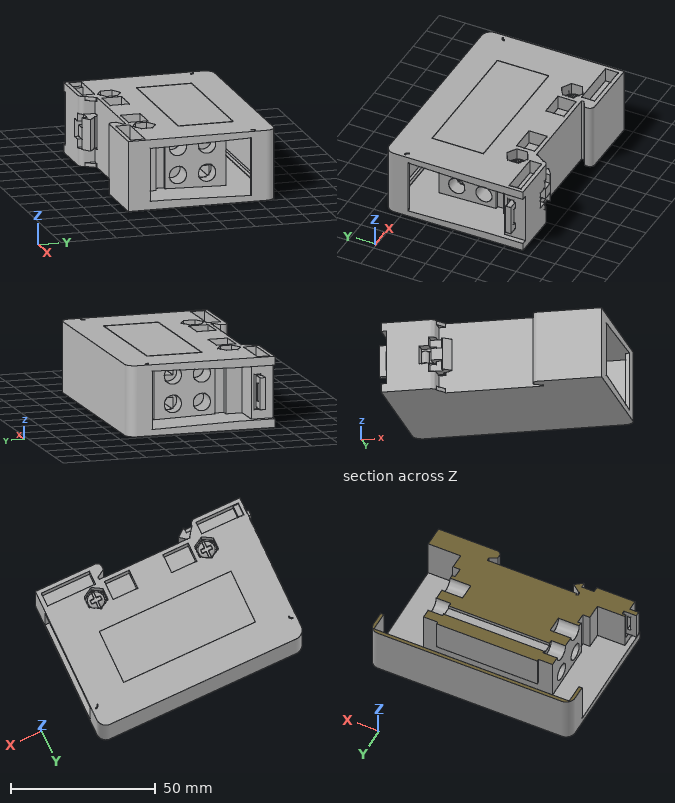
import cadquery as cq

LENGTH = 78.0
HEIGHT = 53.4
HALF_DEPTH = 12.6
TOP_CORNER_RADIUS = 3.5
OVERCUT = 1.0

RAIL_Y = 5.55
LEFT_FOOT_X = 19.25
LEFT_FOOT_RADIUS = 1.9
LEFT_FLANK_X = 21.6
LEFT_FLANK_Y = 5.2
RIGHT_FOOT_X = 53.4
RIGHT_FOOT_RADIUS = 1.9
RIGHT_NECK_X = 56.2
RIGHT_HOOK_Y = 3.0
RIGHT_NECK_Y = 4.6
FLANK_PLATE = 1.4

WALL = 1.35
OPENING_TOP_Y = 44.4
OPENING_HALF_DEPTH = 10.33
STRAIGHT_Y = 13.8
STRAIGHT_HALF_DEPTH = 9.5
FOOT_TOP_Y = 8.0
CAVITY_TOP_Y = 51.9
BASE_X = 12.5
LEDGE_WIDTH = 1.5
LEDGE_HEIGHT = 0.9
LEDGE_BEVEL = 0.5

BLOCK_X = 14.0
BLOCK_BOTTOM_Y = 17.4
BLOCK_TOP_Y = 39.4
GAP_X = 15.2
PORT_RADIUS = 3.1
PORT_Z = 5.05
WIRE_PORT_Y = 32.6
SCREW_PORT_Y = 22.1
WIRE_PORT_DEPTH = 5.5
SCREW_PORT_DEPTH = 8.0
WIRE_SLOT_Y = (30.9, 34.9)
WIRE_SLOT_Z = (4.0, 8.2)
BAR_HALF_WIDTH = 6.4
BAR_HEIGHT = 0.9

POCKETS = [
    (23.0, 32.6, 7.0, 14.0),
    (45.5, 54.9, 7.0, 14.0),
    (3.3, 17.4, 1.5, 6.0),
    (58.1, 76.4, 1.5, 6.5),
]
POCKET_DEPTH = 5.2
POCKET_STEP_DEPTH = 1.5
LABEL = (13.8, 64.0, 22.2, 42.0)
LABEL_DEPTH = 0.1

SCREW_XS = (17.9, 60.0)
SCREW_Y = 11.05
WELL_ACROSS_CORNERS = 8.2
HEAD_TOP_DEPTH = 2.6
WASHER_RADIUS = 3.9
WASHER_DEPTH = 4.6
HEAD_RADIUS = 3.5
HEAD_RIM = 0.6
DOME_RADIUS = 3.0
DRIVE_SLOT_WIDTH = 0.8
CROSS_LENGTH = 3.9
CROSS_WIDTH = 1.4
DRIVE_DEPTH = 1.3

MARK_X = 1.4
MARK_Y = 45.1
MARK_RADIUS = 1.25
MARK_WIDTH = 0.3
MARK_DEPTH = 0.3

RECESS_X = 1.9
PEG_REACH = 1.5
PEG_Y = (3.9, 5.9)
PEG_HALF_WIDTH = 5.65
PEG_NOTCH_X = 0.8
PEG_NOTCH_HALF_WIDTH = 3.2
PEG_SLOT_Y = (4.6, 7.0)
PEG_SLOT_HALF_WIDTH = 6.25
PEG_SLOT_END_X = 3.3

LATCH_X = 16.8
LATCH_HALF_WIDTH = 5.65
LATCH_SLOT_HALF_WIDTH = 6.2
LATCH_TOP_Y = 4.9
LATCH_SLOT_TOP_Y = 6.2
LATCH_STEP_X = 21.4
LATCH_STEP_Y = 2.1
LATCH_NECK_X = 21.0
LATCH_TIP = (24.6, 2.4)
LATCH_BOTTOM = (21.75, 0.2)
SPRING_WELL_X = (13.5, 19.1)
SPRING_WELL_HALF_WIDTH = 3.2
SPRING_WELL_DEPTH = 4.0
SPRING_HALF_WIDTH = 2.1
SPRING_X = 17.6
SPRING_SPLIT_X = 16.2


def box(x0, x1, y0, y1, z0, z1):
    """Box between two opposite corners."""
    return cq.Workplane("XY").box(x1 - x0, y1 - y0, z1 - z0, centered=False).translate((x0, y0, z0))


def plate(x0, x1, y0, y1, half_width):
    """Box centred on Z = 0."""
    return box(x0, x1, y0, y1, -half_width, half_width)


def mirrored_in_length(body):
    """Copy of a body on the opposite end of the housing."""
    return body.mirror("YZ", (LENGTH / 2, 0, 0))


def make_shell():
    outline = (
        cq.Workplane("XY", origin=(0, 0, -HALF_DEPTH))
        .moveTo(0, 0)
        .lineTo(LEFT_FOOT_X - LEFT_FOOT_RADIUS, 0)
        .radiusArc((LEFT_FOOT_X, LEFT_FOOT_RADIUS), -LEFT_FOOT_RADIUS)
        .lineTo(LEFT_FLANK_X, LEFT_FLANK_Y)
        .lineTo(LEFT_FLANK_X, RAIL_Y)
        .lineTo(RIGHT_NECK_X, RAIL_Y)
        .lineTo(RIGHT_NECK_X, RIGHT_NECK_Y)
        .lineTo(RIGHT_FOOT_X, RIGHT_HOOK_Y)
        .lineTo(RIGHT_FOOT_X, RIGHT_FOOT_RADIUS)
        .radiusArc((RIGHT_FOOT_X + RIGHT_FOOT_RADIUS, 0), -RIGHT_FOOT_RADIUS)
        .lineTo(LENGTH, 0)
        .lineTo(LENGTH, HEIGHT)
        .lineTo(0, HEIGHT)
        .close()
        .extrude(2 * HALF_DEPTH)
    )
    shell = outline.edges("|Z and >Y").fillet(TOP_CORNER_RADIUS)
    flank_relief = plate(LEFT_FOOT_X, LEFT_FLANK_X, LEFT_FOOT_RADIUS, RAIL_Y, HALF_DEPTH - FLANK_PLATE)
    return shell.cut(flank_relief)


def tapered_void():
    """Space between the floor and the ceiling of the chamber, widening towards +Y."""
    slope = (OPENING_HALF_DEPTH - STRAIGHT_HALF_DEPTH) / (OPENING_TOP_Y - STRAIGHT_Y)
    end_half = STRAIGHT_HALF_DEPTH + slope * (CAVITY_TOP_Y - STRAIGHT_Y)
    return (
        cq.Workplane("YZ", origin=(-OVERCUT, 0, 0))
        .polyline([
            (-OVERCUT, -STRAIGHT_HALF_DEPTH),
            (STRAIGHT_Y, -STRAIGHT_HALF_DEPTH),
            (CAVITY_TOP_Y, -end_half),
            (CAVITY_TOP_Y, end_half),
            (STRAIGHT_Y, STRAIGHT_HALF_DEPTH),
            (-OVERCUT, STRAIGHT_HALF_DEPTH),
        ])
        .close()
        .extrude(LENGTH + 2 * OVERCUT)
    )


def make_chamber():
    """Upper cavity, both end openings and the stepped spaces beside the terminal block."""
    end_space = (
        plate(-OVERCUT, BASE_X, FOOT_TOP_Y, OPENING_TOP_Y, HALF_DEPTH)
        .union(plate(BASE_X, GAP_X, STRAIGHT_Y, BLOCK_BOTTOM_Y, HALF_DEPTH))
        .union(plate(BASE_X, BLOCK_X, STRAIGHT_Y, BLOCK_TOP_Y, HALF_DEPTH))
    )
    space = (
        plate(WALL, LENGTH - WALL, BLOCK_TOP_Y, CAVITY_TOP_Y, HALF_DEPTH)
        .union(end_space)
        .union(mirrored_in_length(end_space))
        .union(plate(-OVERCUT, RECESS_X, -OVERCUT, FOOT_TOP_Y, HALF_DEPTH))
    )
    return space.intersect(tapered_void())


def make_ledge():
    """Bevelled ledge along the floor of the chamber, below its far wall."""
    front_y = CAVITY_TOP_Y - LEDGE_WIDTH
    floor_z = -OPENING_HALF_DEPTH
    top_z = floor_z + LEDGE_HEIGHT
    return (
        cq.Workplane("YZ", origin=(WALL, 0, 0))
        .polyline([
            (front_y, -HALF_DEPTH + OVERCUT),
            (front_y, floor_z),
            (front_y + LEDGE_BEVEL, top_z),
            (CAVITY_TOP_Y, top_z),
            (CAVITY_TOP_Y, -HALF_DEPTH + OVERCUT),
        ])
        .close()
        .extrude(LENGTH - 2 * WALL)
    )


def make_ports():
    """Round ports in both ends of the terminal block and the wire slots that join them."""
    ports = cq.Workplane("XY")
    slot_start = BLOCK_X + WIRE_PORT_DEPTH
    for side in (-1, 1):
        for port_y, depth in ((WIRE_PORT_Y, WIRE_PORT_DEPTH), (SCREW_PORT_Y, SCREW_PORT_DEPTH)):
            port = (
                cq.Workplane("YZ", origin=(BLOCK_X, port_y, side * PORT_Z))
                .circle(PORT_RADIUS)
                .extrude(depth)
            )
            ports = ports.add(port).add(mirrored_in_length(port))
        slot_z = sorted(side * z for z in WIRE_SLOT_Z)
        ports = ports.add(box(slot_start, LENGTH - slot_start, *WIRE_SLOT_Y, *slot_z))
    return ports.combine()


def make_bar():
    """Low bar along the top of the terminal block."""
    start = BLOCK_X + WIRE_PORT_DEPTH
    return plate(start, LENGTH - start, BLOCK_TOP_Y, BLOCK_TOP_Y + BAR_HEIGHT, BAR_HALF_WIDTH)


def make_top_pockets():
    pockets = cq.Workplane("XY")
    for pocket in POCKETS:
        pockets = pockets.add(box(*pocket, HALF_DEPTH - POCKET_DEPTH, HALF_DEPTH))
    return pockets.add(box(*LABEL, HALF_DEPTH - LABEL_DEPTH, HALF_DEPTH)).combine()


def make_pocket_step():
    """Shallow step that carries the left foot pocket on to the wall."""
    _, x1, y0, y1 = POCKETS[2]
    return box(WALL, x1, y0, y1, HALF_DEPTH - POCKET_STEP_DEPTH, HALF_DEPTH)


def make_well(x):
    """Hexagonal well with two corners pointing along Y."""
    return (
        cq.Workplane("XY", origin=(x, SCREW_Y, HALF_DEPTH - WASHER_DEPTH))
        .transformed(rotate=(0, 0, 90))
        .polygon(6, WELL_ACROSS_CORNERS)
        .extrude(WASHER_DEPTH)
    )


def make_screw(x):
    """Domed screw head on a washer, with a full slot along Y and a short cross slot along X."""
    rise = WASHER_DEPTH - HEAD_TOP_DEPTH
    dome_rise = rise - HEAD_RIM
    dome_sphere_radius = (DOME_RADIUS**2 + dome_rise**2) / (2 * dome_rise)
    head = (
        cq.Workplane("XZ")
        .moveTo(0, -OVERCUT)
        .lineTo(WASHER_RADIUS, -OVERCUT)
        .lineTo(WASHER_RADIUS, HEAD_RIM / 2)
        .lineTo(HEAD_RADIUS, HEAD_RIM / 2)
        .lineTo(HEAD_RADIUS, HEAD_RIM)
        .lineTo(DOME_RADIUS, HEAD_RIM)
        .radiusArc((0, rise), -dome_sphere_radius)
        .close()
        .revolve(360, (0, 0, 0), (0, 1, 0))
    )
    half_slot = DRIVE_SLOT_WIDTH / 2
    slot = box(-half_slot, half_slot, -HEAD_RADIUS, HEAD_RADIUS, rise - DRIVE_DEPTH, rise)
    half_cross = CROSS_LENGTH / 2
    cross = box(-half_cross, half_cross, -CROSS_WIDTH / 2, CROSS_WIDTH / 2, rise - DRIVE_DEPTH, rise)
    return head.cut(slot).cut(cross).translate((x, SCREW_Y, HALF_DEPTH - WASHER_DEPTH))


def make_mark():
    """Quarter ring engraved in the top face near the left wall."""
    ring = (
        cq.Workplane("XY", origin=(MARK_X, MARK_Y, HALF_DEPTH - MARK_DEPTH))
        .circle(MARK_RADIUS)
        .circle(MARK_RADIUS - MARK_WIDTH)
        .extrude(MARK_DEPTH)
    )
    quarter = box(
        MARK_X, MARK_X + MARK_RADIUS, MARK_Y, MARK_Y + MARK_RADIUS, HALF_DEPTH - MARK_DEPTH, HALF_DEPTH
    )
    return ring.intersect(quarter)


def make_peg():
    peg = plate(-PEG_REACH, PEG_SLOT_END_X, *PEG_Y, PEG_HALF_WIDTH)
    notch = plate(PEG_NOTCH_X, RECESS_X, *PEG_Y, PEG_NOTCH_HALF_WIDTH)
    return peg.cut(notch)


def make_spring_well():
    return plate(*SPRING_WELL_X, -OVERCUT, SPRING_WELL_DEPTH, SPRING_WELL_HALF_WIDTH)


def make_latch_space():
    """Slot for the latch across the foot flank, and the spring well beside it."""
    slot = plate(LATCH_X, LEFT_FLANK_X, -OVERCUT, LATCH_SLOT_TOP_Y, LATCH_SLOT_HALF_WIDTH)
    return slot.union(make_spring_well())


def make_latch():
    tooth = (
        cq.Workplane("XY", origin=(0, 0, -LATCH_HALF_WIDTH))
        .polyline([
            (LATCH_X, LATCH_STEP_Y),
            (LATCH_STEP_X, LATCH_STEP_Y),
            (LATCH_STEP_X, LATCH_BOTTOM[1]),
            LATCH_BOTTOM,
            LATCH_TIP,
            (LATCH_STEP_X, LATCH_TOP_Y),
            (LATCH_NECK_X, LATCH_TOP_Y),
            (LATCH_NECK_X, LATCH_SLOT_TOP_Y),
            (LATCH_X, LATCH_SLOT_TOP_Y),
        ])
        .close()
        .extrude(2 * LATCH_HALF_WIDTH)
    )
    spring = plate(SPRING_X, LATCH_STEP_X, LATCH_BOTTOM[1], LATCH_TOP_Y, SPRING_HALF_WIDTH)
    latch = tooth.cut(make_spring_well()).union(spring)
    for x0, x1 in ((SPRING_WELL_X[0], SPRING_SPLIT_X), (SPRING_SPLIT_X, SPRING_X)):
        coil = (
            cq.Workplane("XY", origin=((x0 + x1) / 2, SPRING_WELL_DEPTH, -SPRING_HALF_WIDTH))
            .circle((x1 - x0) / 2)
            .extrude(2 * SPRING_HALF_WIDTH)
        )
        latch = latch.union(coil)
    return latch


result = make_shell().cut(make_chamber()).union(make_ledge())
result = result.cut(make_ports())
result = result.union(make_bar())

result = result.cut(make_top_pockets()).cut(make_pocket_step())
for screw_x in SCREW_XS:
    result = result.cut(make_well(screw_x)).union(make_screw(screw_x))
result = result.cut(make_mark()).cut(mirrored_in_length(make_mark()))

result = result.cut(plate(RECESS_X, PEG_SLOT_END_X, *PEG_SLOT_Y, PEG_SLOT_HALF_WIDTH)).union(make_peg())
result = result.cut(make_latch_space()).union(make_latch())